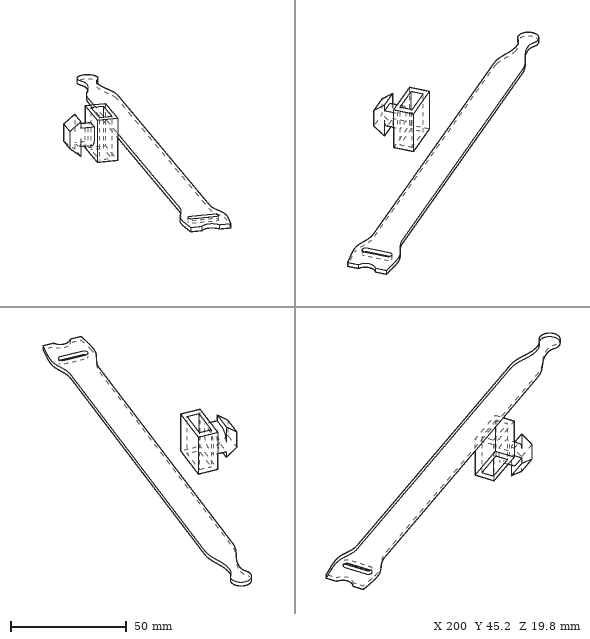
import cadquery as cq
import math

strap_length = 200.0
strap_width = 13.4
strap_thickness = 2.0
tail_x = -strap_length / 2
head_x = strap_length / 2

tail_radius = 4.5
waist_half_width = 2.4
waist_offset = 11.4
taper_end_offset = 29.0

head_width = 20.4
head_end_width = 18.0
shoulder_offset = 25.2
widest_offset = 11.2
thread_slot_offset = 12.2
thread_slot_length = 13.5
thread_slot_width = 3.2
notch_half_width = 3.9
notch_depth = 2.4

holder_x = -4.8
holder_bottom = 0.4
holder_width = 19.4
holder_depth = 9.2
holder_height = 19.4
holder_back_y = -14.8
holder_front_y = holder_back_y - holder_depth
holder_mid_y = holder_back_y - holder_depth / 2
holder_mid_z = holder_bottom + holder_height / 2
opening_width = strap_width
opening_depth = 5.5

stud_width = 10.0
neck_length = 6.0
lock_depth = 5.0
lock_height = 16.0
lock_tip_height = 8.0


def make_strap():
    band_half = strap_width / 2
    head_half = head_width / 2
    end_half = head_end_width / 2

    tail_center_x = tail_x + tail_radius
    run = waist_offset - tail_radius
    waist_radius = (run**2 + waist_half_width**2 - tail_radius**2) / (2 * (tail_radius - waist_half_width))
    waist_center_y = waist_half_width + waist_radius
    angle = math.atan2(waist_center_y, run)
    joint_x = tail_center_x + tail_radius * math.cos(angle)
    joint_y = tail_radius * math.sin(angle)
    waist_x = tail_x + waist_offset
    mid_angle = (angle + math.pi / 2) / 2
    waist_mid_x = waist_x - waist_radius * math.cos(mid_angle)
    waist_mid_y = waist_center_y - waist_radius * math.sin(mid_angle)

    taper_x = tail_x + taper_end_offset
    shoulder_x = head_x - shoulder_offset
    widest_x = head_x - widest_offset
    forward = (1, 0)
    backward = (-1, 0)
    end_slope = (head_half - end_half) / widest_offset

    outline = (
        cq.Workplane("XY")
        .moveTo(joint_x, -joint_y)
        .threePointArc((tail_x, 0), (joint_x, joint_y))
        .threePointArc((waist_mid_x, waist_mid_y), (waist_x, waist_half_width))
        .spline([(taper_x, band_half)], tangents=[forward, forward], includeCurrent=True)
        .lineTo(shoulder_x, band_half)
        .spline([(widest_x, head_half)], tangents=[forward, forward], includeCurrent=True)
        .spline([(head_x, end_half)], tangents=[forward, (1, -end_slope)], includeCurrent=True)
        .lineTo(head_x, notch_half_width)
        .threePointArc((head_x - notch_depth, 0), (head_x, -notch_half_width))
        .lineTo(head_x, -end_half)
        .spline([(widest_x, -head_half)], tangents=[(-1, -end_slope), backward], includeCurrent=True)
        .spline([(shoulder_x, -band_half)], tangents=[backward, backward], includeCurrent=True)
        .lineTo(taper_x, -band_half)
        .spline([(waist_x, -waist_half_width)], tangents=[backward, backward], includeCurrent=True)
        .threePointArc((waist_mid_x, -waist_mid_y), (joint_x, -joint_y))
        .close()
    )
    thread_slot = (
        cq.Workplane("XY")
        .center(head_x - thread_slot_offset, 0)
        .slot2D(thread_slot_length, thread_slot_width, 90)
        .extrude(strap_thickness)
    )
    return outline.extrude(strap_thickness).cut(thread_slot)


def make_sleeve():
    return (
        cq.Workplane("XY", origin=(holder_x, holder_mid_y, holder_bottom))
        .rect(holder_width, holder_depth)
        .rect(opening_width, opening_depth)
        .extrude(holder_height)
    )


def make_neck():
    half = stud_width / 2
    arc_point = half * math.sqrt(0.5)
    return (
        cq.Workplane("XZ", origin=(holder_x, holder_front_y, holder_mid_z))
        .moveTo(-half, 0)
        .threePointArc((-arc_point, arc_point), (0, half))
        .lineTo(half, half)
        .lineTo(half, 0)
        .threePointArc((arc_point, -arc_point), (0, -half))
        .lineTo(-half, -half)
        .close()
        .extrude(neck_length)
    )


def make_lock():
    back_y = holder_front_y - neck_length
    tip_y = back_y - lock_depth
    return (
        cq.Workplane("YZ", origin=(holder_x, 0, holder_mid_z))
        .moveTo(back_y, -lock_height / 2)
        .lineTo(back_y, lock_height / 2)
        .lineTo(tip_y, lock_tip_height / 2)
        .lineTo(tip_y, -lock_tip_height / 2)
        .close()
        .extrude(stud_width / 2, both=True)
    )


def make_holder():
    return make_sleeve().union(make_neck()).union(make_lock())


strap = make_strap()
holder = make_holder()

result = cq.Compound.makeCompound([strap.val(), holder.val()])